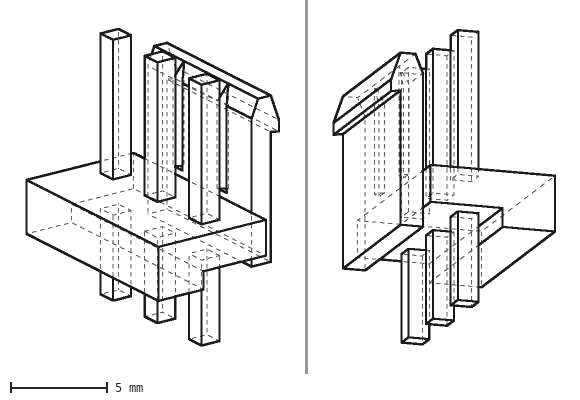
import cadquery as cq

pin_count = 3
pin_pitch = 3.96
pin_size = 1.14
pin_length = 14.4

base_width = 11.82
base_front = -4.26
base_back = 2.5
base_bottom = 3.72
base_top = 6.7

recess_front = -1.41
recess_depth = 1.01

wall_width = 9.3
wall_thickness = 1.21
wall_back = base_back + wall_thickness
wall_top = 12.9
lead_in_depth = 0.4
lead_in_height = 1.01

hook_reach = 0.52
hook_tip = wall_back + hook_reach
hook_slope_bottom = 11.43
hook_tip_bottom = 10.8
hook_root = 10.89

groove_width = 0.84
groove_depth = lead_in_depth
groove_bottom = 7.08


def row(count):
    """X positions of a centred row at the pin pitch."""
    return [(i - (count - 1) / 2) * pin_pitch for i in range(count)]


def extrude_along_x(profile, width):
    """Closed (Y, Z) profile extruded symmetrically about X = 0."""
    return cq.Workplane("YZ").polyline(profile).close().extrude(width / 2, both=True)


def make_base():
    recess_top = base_bottom + recess_depth
    profile = [
        (base_front, base_bottom),
        (recess_front, base_bottom),
        (recess_front, recess_top),
        (base_back, recess_top),
        (base_back, base_top),
        (base_front, base_top),
    ]
    return extrude_along_x(profile, base_width)


def make_wall():
    profile = [
        (base_back, base_bottom),
        (wall_back, base_bottom),
        (wall_back, hook_root),
        (hook_tip, hook_tip_bottom),
        (hook_tip, hook_slope_bottom),
        (wall_back, wall_top),
        (base_back + lead_in_depth, wall_top),
        (base_back, wall_top - lead_in_height),
    ]
    return extrude_along_x(profile, wall_width)


def make_groove(x):
    """V-shaped cutter that runs out through the lead-in slope at the wall top."""
    outline = [
        (x - groove_width / 2, base_back),
        (x + groove_width / 2, base_back),
        (x, base_back + groove_depth),
    ]
    plane = cq.Workplane("XY").workplane(offset=groove_bottom)
    return plane.polyline(outline).close().extrude(wall_top - groove_bottom)


def make_pin(x):
    return cq.Workplane("XY").center(x, 0).rect(pin_size, pin_size).extrude(pin_length)


wall = make_wall()
for groove_x in row(pin_count - 1):
    wall = wall.cut(make_groove(groove_x))

result = make_base().union(wall)
for pin_x in row(pin_count):
    result = result.union(make_pin(pin_x))